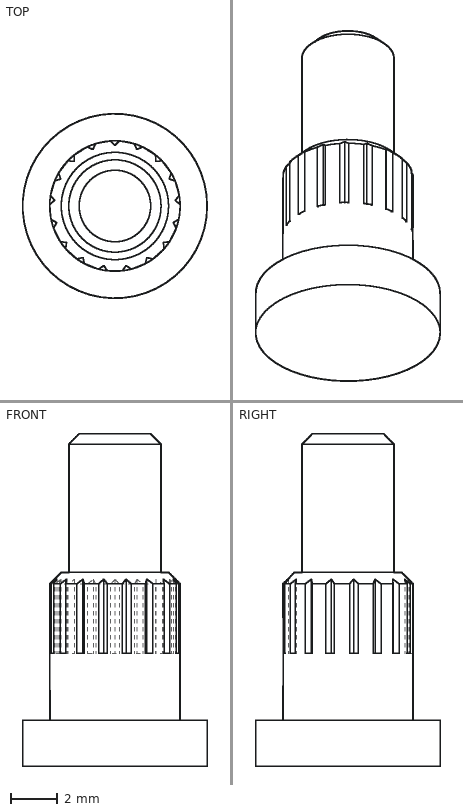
import cadquery as cq
import math

head_diameter = 8.0
head_height = 2.0

shank_diameter = 5.65
shank_top = 8.4
shank_chamfer = 0.5

pin_diameter = 4.0
total_height = 14.4
pin_chamfer = 0.45

groove_count = 17
groove_length = 3.5
groove_depth = 0.2
groove_angle = 90.0
first_groove_direction = 90.0


def stepped_body():
    """Head, shank and pin stacked along Z, with chamfered upper rims."""
    head = cq.Workplane("XY").circle(head_diameter / 2).extrude(head_height)
    shank = (
        cq.Workplane("XY")
        .circle(shank_diameter / 2)
        .extrude(shank_top)
        .faces(">Z")
        .chamfer(shank_chamfer)
    )
    pin = (
        cq.Workplane("XY")
        .circle(pin_diameter / 2)
        .extrude(total_height)
        .faces(">Z")
        .chamfer(pin_chamfer)
    )
    return head.union(shank).union(pin)


def groove_cutter(direction):
    """Triangular prism whose edge is the root of one groove."""
    shank_radius = shank_diameter / 2
    root_radius = shank_radius - groove_depth
    outer_radius = shank_radius + groove_depth
    half_width = (outer_radius - root_radius) * math.tan(math.radians(groove_angle / 2))
    return (
        cq.Workplane("XY", origin=(0, 0, shank_top - groove_length))
        .moveTo(root_radius, 0)
        .lineTo(outer_radius, half_width)
        .lineTo(outer_radius, -half_width)
        .close()
        .extrude(groove_length)
        .rotate((0, 0, 0), (0, 0, 1), direction)
    )


result = stepped_body()
for index in range(groove_count):
    groove_direction = first_groove_direction + index * 360.0 / groove_count
    result = result.cut(groove_cutter(groove_direction))